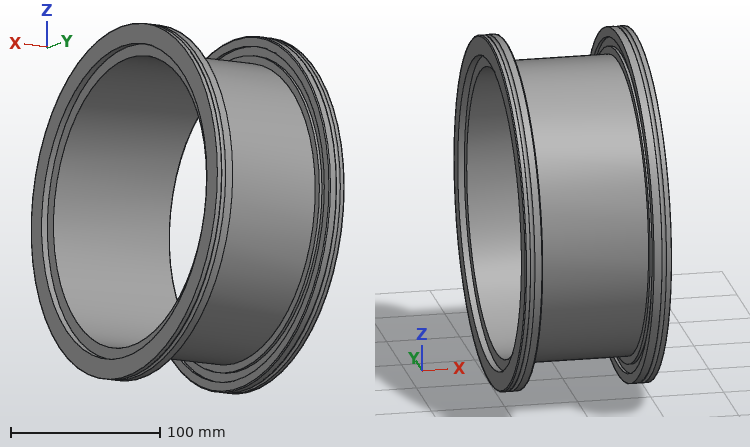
import cadquery as cq

length = 100.0
bore_diameter = 197.2
tube_diameter = 203.2

flange_diameter = 240.0
flange_thickness = 12.0
edge_chamfer = 0.75

recess_diameter = 213.0
recess_depth = 4.5

back_groove_inner_diameter = 213.9
back_groove_outer_diameter = 226.6
back_groove_depth = 2.0

rim_groove_width = 3.0
rim_groove_offset = 5.0

left_end = -length / 2


def ring(x_start, thickness, outer_diameter, inner_diameter):
    """Ring around the X axis that starts at x_start and extends toward +X."""
    return (
        cq.Workplane("YZ", origin=(x_start, 0, 0))
        .circle(outer_diameter / 2)
        .circle(inner_diameter / 2)
        .extrude(thickness)
    )


def rim_groove():
    """Torus that cuts a half-round groove into the rim of the -X flange."""
    return cq.Workplane(
        cq.Solid.makeTorus(
            flange_diameter / 2,
            rim_groove_width / 2,
            cq.Vector(left_end + rim_groove_offset, 0, 0),
            cq.Vector(1, 0, 0),
        )
    )


def back_groove():
    """Cutter for the ring groove in the inward-facing side of the -X flange."""
    return ring(
        left_end + flange_thickness - back_groove_depth,
        back_groove_depth,
        back_groove_outer_diameter,
        back_groove_inner_diameter,
    )


def left_flange(chamfer_size):
    """Flange at the -X end, with its two rim edges chamfered if chamfer_size is above zero."""
    flange = ring(left_end, flange_thickness, flange_diameter, bore_diameter)
    if chamfer_size > 0:
        largest_circles = cq.selectors.RadiusNthSelector(-1)
        flange = flange.edges("%CIRCLE").edges(largest_circles).chamfer(chamfer_size)
    recess = ring(left_end, recess_depth, recess_diameter, bore_diameter)
    return flange.cut(recess).cut(back_groove()).cut(rim_groove())


tube_start = left_end + recess_depth
tube = ring(tube_start, length - 2 * recess_depth, tube_diameter, bore_diameter)
right_flange = left_flange(0).mirror("YZ")

result = tube.union(left_flange(edge_chamfer)).union(right_flange)